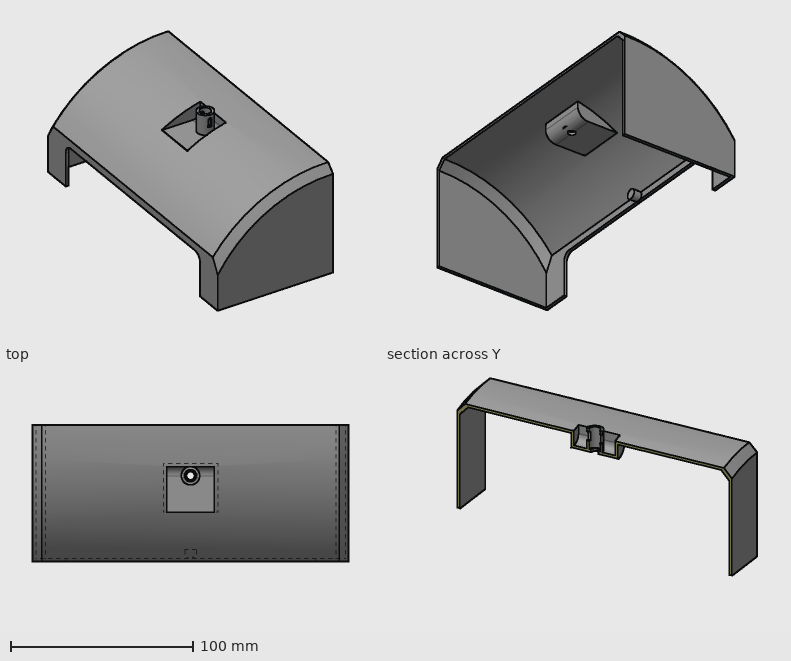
import cadquery as cq
import math

length = 173.3
depth = 75.0
height = 68.5
front_height = 31.9
roof_chamfer = 5.0
wall = 1.9

leg_width = 18.2
arch_height = 26.9
arch_fillet = 5.0

pocket_width = 26.0
pocket_back = 22.9
pocket_length = 25.0
pocket_floor = 55.8
pocket_fillet = 5.0

spigot_diameter = 10.0
bore_diameter = 6.5
drain_diameter = 4.5
spigot_y = -pocket_back - spigot_diameter / 2

pin_diameter = 6.0
pin_length = 5.0
pin_height = (arch_height + front_height) / 2

slot_width = 2.5
slot_bottom = 60.7
slot_top = 66.2

apex_distance = 1.9
roof_run = depth - apex_distance
roof_drop = height - front_height
roof_radius = (roof_run**2 + roof_drop**2) / (2 * roof_drop)


def roof_height(distance, inset=0):
    """Height of the roof, moved inwards by an inset, at a distance in front of the back face."""
    run = distance - apex_distance
    return height - roof_radius + math.sqrt((roof_radius - inset) ** 2 - run**2)


def make_envelope(inset=0):
    """Solid under the roof, with its top, front and ends moved inwards by an inset."""
    front = depth - inset
    half_length = length / 2 - inset
    profile = (
        cq.Workplane("YZ", origin=(-half_length, 0, 0))
        .moveTo(0, 0)
        .lineTo(0, roof_height(0, inset))
        .threePointArc((-front / 2, roof_height(front / 2, inset)), (-front, roof_height(front, inset)))
        .lineTo(-front, 0)
        .close()
    )
    solid = profile.extrude(2 * half_length)
    return solid.faces("<X or >X").edges("%CIRCLE").chamfer(roof_chamfer)


def make_archway():
    """Opening in the front wall between the legs, with rounded upper corners."""
    return (
        cq.Workplane("XY", origin=(0, -depth, 0))
        .box(length - 2 * leg_width, wall, arch_height, centered=(True, False, False))
        .edges("|Y and >Z")
        .fillet(arch_fillet)
    )


def make_pocket(margin=0):
    """Pocket space with a rounded back corner, grown outwards by a margin."""
    floor = pocket_floor - margin
    return (
        cq.Workplane("XY", origin=(0, -pocket_back - pocket_length - margin, floor))
        .box(
            pocket_width + 2 * margin,
            pocket_length + 2 * margin,
            height - floor,
            centered=(True, False, False),
        )
        .edges("|X and >Y and <Z")
        .fillet(pocket_fillet + margin)
    )


def spigot_cylinder(diameter, bottom, top):
    """Cylinder on the spigot axis between two heights."""
    return (
        cq.Workplane("XY", origin=(0, spigot_y, bottom))
        .circle(diameter / 2)
        .extrude(top - bottom)
    )


def make_pin():
    return (
        cq.Workplane("XZ", origin=(0, -depth + wall, pin_height))
        .circle(pin_diameter / 2)
        .extrude(-pin_length)
    )


def make_cross_slot():
    shoulder = slot_top - slot_width / 2
    return (
        cq.Workplane("YZ", origin=(0, spigot_y, 0))
        .moveTo(-slot_width / 2, slot_bottom)
        .lineTo(-slot_width / 2, shoulder)
        .threePointArc((0, slot_top), (slot_width / 2, shoulder))
        .lineTo(slot_width / 2, slot_bottom)
        .close()
        .extrude(spigot_diameter / 2, both=True)
    )


cavity = make_envelope(wall).cut(make_pocket(wall))

result = (
    make_envelope()
    .cut(cavity)
    .cut(make_archway())
    .cut(make_pocket())
    .union(spigot_cylinder(spigot_diameter, pocket_floor, height))
    .union(make_pin())
    .cut(spigot_cylinder(bore_diameter, pocket_floor, height))
    .cut(spigot_cylinder(drain_diameter, pocket_floor - wall, height))
    .cut(make_cross_slot())
)